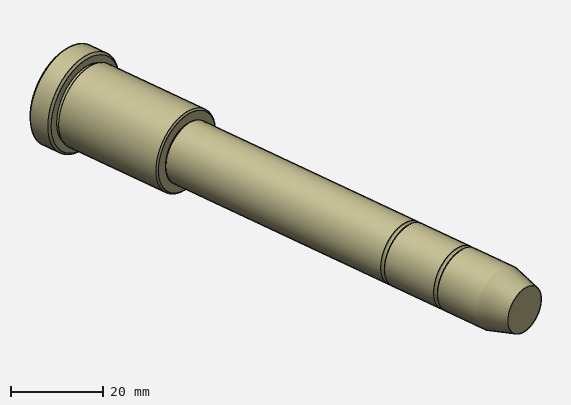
import cadquery as cq
import math

TOTAL_LENGTH = 131.0
HEAD_DIAMETER = 24.0
SHANK_DIAMETER = 20.0
PIN_DIAMETER = 15.0

HEAD_LENGTH = 6.0
HEAD_CHAMFER = 0.5
SHANK_END = 35.0
SHANK_CHAMFER = 0.4
NECK_LENGTH = 0.9
NECK_DEPTH = 0.4

RELIEF_LENGTH = 0.3
RELIEF_DEPTH = 0.3

GROOVE_STARTS = (96.4, 111.5)
GROOVE_WIDTH = 1.0
GROOVE_DEPTH = GROOVE_WIDTH / 2

TIP_LENGTH = 7.1
TIP_HALF_ANGLE = 15.0


def cylinder(diameter, start, end):
    """Solid cylinder on the X axis between two stations."""
    return cq.Workplane("YZ").workplane(offset=start).circle(diameter / 2).extrude(end - start)


def make_head():
    return cylinder(HEAD_DIAMETER, 0, HEAD_LENGTH).edges().chamfer(HEAD_CHAMFER)


def make_shank():
    neck_end = HEAD_LENGTH + NECK_LENGTH
    neck = cylinder(SHANK_DIAMETER - 2 * NECK_DEPTH, HEAD_LENGTH, neck_end)
    body = cylinder(SHANK_DIAMETER, neck_end, SHANK_END).faces(">X").chamfer(SHANK_CHAMFER)
    return neck.union(body)


def make_pin():
    """Pin profile with its relief, grooves and tapered tip, revolved about X."""
    radius = PIN_DIAMETER / 2
    groove_radius = radius - GROOVE_DEPTH
    tip_radius = radius - TIP_LENGTH * math.tan(math.radians(TIP_HALF_ANGLE))
    relief_radius = radius - RELIEF_DEPTH
    relief_end = SHANK_END + RELIEF_LENGTH
    profile = cq.Workplane("XY").moveTo(SHANK_END, 0).lineTo(SHANK_END, relief_radius)
    profile = profile.lineTo(relief_end, relief_radius).lineTo(relief_end, radius)
    for start in GROOVE_STARTS:
        end = start + GROOVE_WIDTH
        middle = start + GROOVE_WIDTH / 2
        profile = profile.lineTo(start, radius).threePointArc((middle, groove_radius), (end, radius))
    profile = profile.lineTo(TOTAL_LENGTH - TIP_LENGTH, radius)
    profile = profile.lineTo(TOTAL_LENGTH, tip_radius).lineTo(TOTAL_LENGTH, 0).close()
    return profile.revolve(360, (0, 0, 0), (1, 0, 0))


result = make_head().union(make_shank()).union(make_pin())